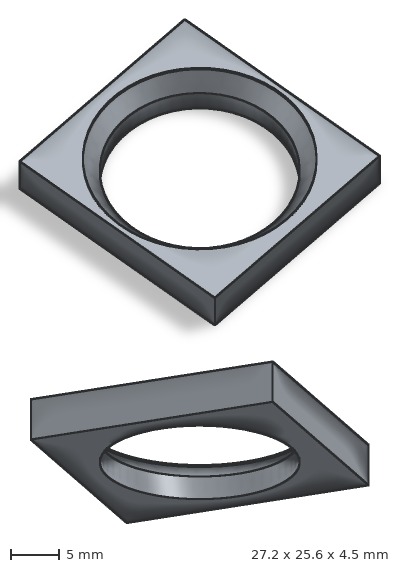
import cadquery as cq

length = 27.23
width = 25.55
thickness = 4.5

bore_diameter = 20.72
seat_diameter = 24.23
rim_depth = 0.22
seat_depth = (seat_diameter - bore_diameter) / 2


def make_plate():
    """Plate centred on the Z axis, resting on Z = 0."""
    return cq.Workplane("XY").box(length, width, thickness, centered=(True, True, False))


def make_opening():
    """Half profile of the opening, revolved about the Z axis."""
    bore_radius = bore_diameter / 2
    seat_radius = seat_diameter / 2
    seat_top = thickness - rim_depth
    seat_bottom = seat_top - seat_depth
    return (
        cq.Workplane("XZ")
        .lineTo(bore_radius, 0)
        .lineTo(bore_radius, seat_bottom)
        .lineTo(seat_radius, seat_top)
        .lineTo(seat_radius, thickness)
        .lineTo(0, thickness)
        .close()
        .revolve(360, (0, 0, 0), (0, 1, 0))
    )


result = make_plate().cut(make_opening())